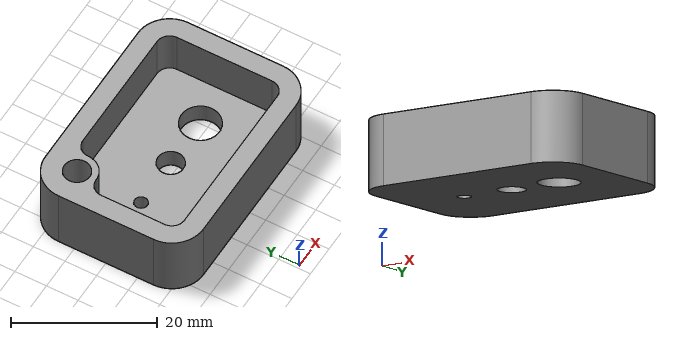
import cadquery as cq
import math

length = 35.0
width = 25.0
height = 10.0
corner_radius = 5.0

wall = 3.0
floor_thickness = 3.0
pocket_radius = corner_radius - wall
pocket_depth = height - floor_thickness

post_radius = 3.0
post_hole_diameter = 4.0
post_hole_depth = pocket_depth
post_x = -length / 2 + corner_radius
post_y = width / 2 - corner_radius

smallest_hole_diameter = 2.0
hole_spacing = 8.0
hole_count = 3


def rounded_block():
    block = cq.Workplane("XY").box(length, width, height, centered=(True, True, False))
    return block.edges("|Z").fillet(corner_radius)


def pocket():
    """Rounded pocket whose -X +Y corner wraps around the post."""
    half_x = length / 2 - wall
    half_y = width / 2 - wall
    r = pocket_radius
    mid = math.sqrt(0.5)
    post_right = post_x + post_radius
    post_bottom = post_y - post_radius
    blend_x = post_right + r
    blend_y = post_bottom - r
    inset = r * (1 - mid)
    return (
        cq.Workplane("XY", origin=(0, 0, floor_thickness))
        .moveTo(post_x, post_bottom)
        .threePointArc((post_x + post_radius * mid, post_y - post_radius * mid), (post_right, post_y))
        .threePointArc((blend_x - r * mid, half_y - inset), (blend_x, half_y))
        .lineTo(half_x - r, half_y)
        .threePointArc((half_x - inset, half_y - inset), (half_x, half_y - r))
        .lineTo(half_x, -half_y + r)
        .threePointArc((half_x - inset, -half_y + inset), (half_x - r, -half_y))
        .lineTo(-half_x + r, -half_y)
        .threePointArc((-half_x + inset, -half_y + inset), (-half_x, -half_y + r))
        .lineTo(-half_x, blend_y)
        .threePointArc((-half_x + inset, blend_y + r * mid), (post_x, post_bottom))
        .close()
        .extrude(pocket_depth)
    )


def post_hole():
    bottom = height - post_hole_depth
    return (
        cq.Workplane("XY", origin=(post_x, post_y, bottom))
        .circle(post_hole_diameter / 2)
        .extrude(post_hole_depth)
    )


def floor_hole(index):
    """Each hole is one smallest diameter wider than the one before it."""
    x = (index - (hole_count - 1) / 2) * hole_spacing
    diameter = smallest_hole_diameter * (index + 1)
    return cq.Workplane("XY", origin=(x, 0, 0)).circle(diameter / 2).extrude(floor_thickness)


result = rounded_block().cut(pocket()).cut(post_hole())
for hole_index in range(hole_count):
    result = result.cut(floor_hole(hole_index))